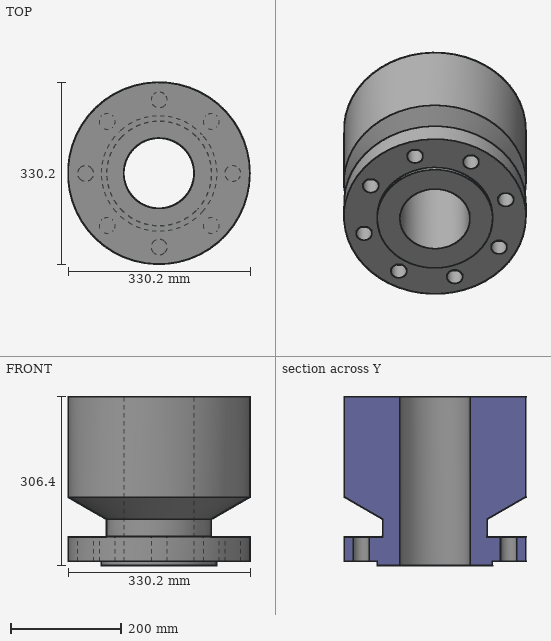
import cadquery as cq

raised_face_height = 7.9
flange_thickness = 44.5
neck_base_height = 0.85
neck_length = 31.9
cone_height = 40.2
overall_height = 306.4

flange_diameter = 330.2
body_diameter = flange_diameter
raised_face_diameter = 209.55
neck_diameter = 190.5
neck_base_diameter = 189.5
bore_diameter = 127.0

bolt_count = 8
bolt_circle_diameter = 266.7
bolt_hole_diameter = 28.6

raised_face_z = -raised_face_height
flange_top_z = flange_thickness
neck_base_top_z = flange_top_z + neck_base_height
neck_top_z = flange_top_z + neck_length
cone_top_z = neck_top_z + cone_height
body_top_z = overall_height - raised_face_height


def make_turned_body():
    """Revolve the half section: raised face, flange, neck, cone and body around the bore."""
    bore_radius = bore_diameter / 2
    raised_face_radius = raised_face_diameter / 2
    flange_radius = flange_diameter / 2
    neck_base_radius = neck_base_diameter / 2
    neck_radius = neck_diameter / 2
    body_radius = body_diameter / 2
    half_section = [
        (bore_radius, raised_face_z),
        (raised_face_radius, raised_face_z),
        (raised_face_radius, 0),
        (flange_radius, 0),
        (flange_radius, flange_top_z),
        (neck_base_radius, flange_top_z),
        (neck_base_radius, neck_base_top_z),
        (neck_radius, neck_base_top_z),
        (neck_radius, neck_top_z),
        (body_radius, cone_top_z),
        (body_radius, body_top_z),
        (bore_radius, body_top_z),
    ]
    return cq.Workplane("XZ").polyline(half_section).close().revolve(360, (0, 0, 0), (0, 1, 0))


def make_bolt_holes():
    """Cylinders through the flange, evenly spaced with the first one on the X axis."""
    return (
        cq.Workplane("XY")
        .polarArray(bolt_circle_diameter / 2, 0, 360, bolt_count)
        .circle(bolt_hole_diameter / 2)
        .extrude(flange_thickness)
    )


result = make_turned_body().cut(make_bolt_holes())